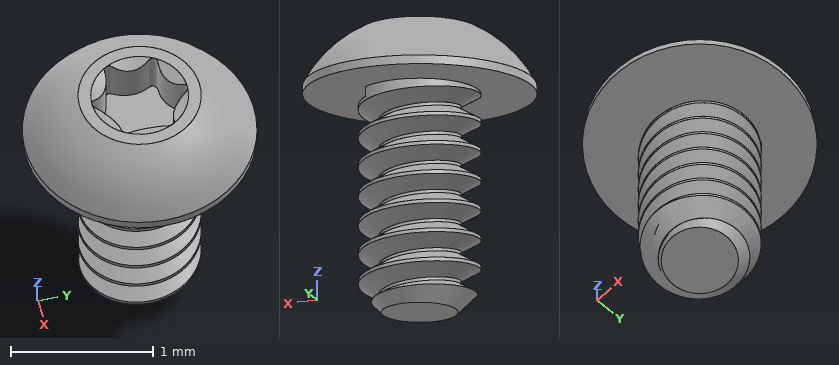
import cadquery as cq
import math

total_height = 2.04
head_diameter = 1.65
head_bottom_z = 1.587
rim_height = 0.063
head_flat_diameter = 0.865

thread_diameter = 0.865
root_diameter = 0.583
pitch = 0.212
crest_width = pitch / 8
flank_angle = 30.0
groove_phase_z = 1.583
groove_end_angle = 45.0
groove_turns = 8
groove_overcut = 0.01
tip_radius = 0.271

socket_diameter = 0.687
socket_waist_radius = 0.26
socket_depth = 0.326
lobe_radius = 0.039
lobe_count = 6
countersink_angle = 30.0

head_radius = head_diameter / 2
head_flat_radius = head_flat_diameter / 2
thread_radius = thread_diameter / 2
root_radius = root_diameter / 2
socket_radius = socket_diameter / 2


def polar(radius, degrees):
    angle = math.radians(degrees)
    return radius * math.cos(angle), radius * math.sin(angle)


def make_head():
    """Domed head: a sphere centred on the axis above a short cylindrical rim."""
    rim_top_z = head_bottom_z + rim_height
    dome_height = total_height - rim_top_z
    centre_below_rim = (head_radius**2 - head_flat_radius**2 - dome_height**2) / (2 * dome_height)
    dome_centre_z = rim_top_z - centre_below_rim
    dome_radius = math.hypot(head_radius, centre_below_rim)
    rim_angle = math.atan2(centre_below_rim, head_radius)
    flat_angle = math.atan2(total_height - dome_centre_z, head_flat_radius)
    middle_r, middle_z = polar(dome_radius, math.degrees((rim_angle + flat_angle) / 2))
    return (
        cq.Workplane("XZ")
        .moveTo(0, head_bottom_z)
        .lineTo(head_radius, head_bottom_z)
        .lineTo(head_radius, rim_top_z)
        .threePointArc((middle_r, dome_centre_z + middle_z), (head_flat_radius, total_height))
        .lineTo(0, total_height)
        .close()
        .revolve(360, (0, 0, 0), (0, 1, 0))
    )


def make_thread_groove():
    """Right-handed trapezoidal groove swept along a helix."""
    flank_slope = math.tan(math.radians(flank_angle))
    outer_radius = thread_radius + groove_overcut
    crest_half_width = (pitch - crest_width) / 2
    root_half_width = crest_half_width - (thread_radius - root_radius) * flank_slope
    outer_half_width = crest_half_width + groove_overcut * flank_slope
    length = groove_turns * pitch
    start_z = groove_phase_z + pitch * groove_end_angle / 360 - length
    path = cq.Wire.makeHelix(pitch, length, root_radius, center=cq.Vector(0, 0, start_z))
    return (
        cq.Workplane("XZ")
        .polyline([
            (root_radius, start_z - root_half_width),
            (outer_radius, start_z - outer_half_width),
            (outer_radius, start_z + outer_half_width),
            (root_radius, start_z + root_half_width),
        ])
        .close()
        .sweep(cq.Workplane(path), isFrenet=True)
        .rotate((0, 0, 0), (0, 0, 1), groove_end_angle)
    )


def make_shank():
    """Threaded shank with a chamfered tip."""
    blank = (
        cq.Workplane("XY")
        .circle(thread_radius)
        .extrude(head_bottom_z)
        .faces("<Z")
        .chamfer(thread_radius - tip_radius)
    )
    return blank.cut(make_thread_groove())


def make_socket():
    """Six-lobe recess with tangent arcs and a shallow conical entry."""
    half_step = 180 / lobe_count
    cos_half = math.cos(math.radians(half_step))
    lobe_centre = socket_radius - lobe_radius
    inward_radius = (
        socket_waist_radius**2 + lobe_centre**2 - lobe_radius**2
        - 2 * socket_waist_radius * lobe_centre * cos_half
    ) / (2 * (lobe_radius - socket_waist_radius + lobe_centre * cos_half))
    inward_centre = socket_waist_radius + inward_radius
    lobe_x, lobe_y = polar(lobe_centre, half_step)
    lobe_share = lobe_radius / (lobe_radius + inward_radius)
    touch_x = lobe_x + (inward_centre - lobe_x) * lobe_share
    touch_y = lobe_y - lobe_y * lobe_share
    touch_radius = math.hypot(touch_x, touch_y)
    touch_angle = math.degrees(math.atan2(touch_y, touch_x))

    outline = cq.Workplane("XY").workplane(offset=total_height - socket_depth)
    outline = outline.moveTo(*polar(touch_radius, -touch_angle))
    for lobe in range(lobe_count):
        waist_angle = lobe * 2 * half_step
        tip_angle = waist_angle + half_step
        outline = outline.threePointArc(
            polar(socket_waist_radius, waist_angle),
            polar(touch_radius, waist_angle + touch_angle),
        )
        outline = outline.threePointArc(
            polar(socket_radius, tip_angle),
            polar(touch_radius, tip_angle + half_step - touch_angle),
        )
    recess = outline.close().extrude(socket_depth)

    cone_depth = socket_radius * math.tan(math.radians(countersink_angle))
    entry = (
        cq.Workplane("XZ")
        .polyline([(0, total_height - cone_depth), (socket_radius, total_height), (0, total_height)])
        .close()
        .revolve(360, (0, 0, 0), (0, 1, 0))
    )
    return recess.union(entry)


result = make_head().cut(make_socket()).union(make_shank())